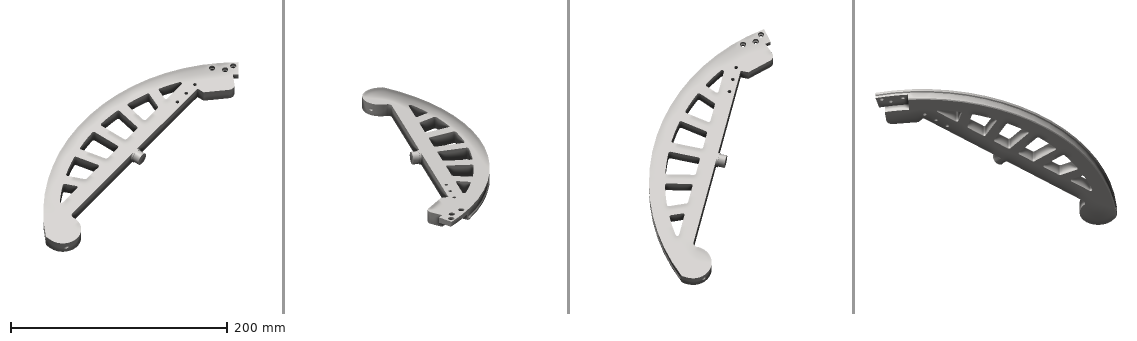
import cadquery as cq
import math

thickness = 12.0
half_thickness = thickness / 2

rim_radius = 180.0
rim_depth = 59.8
rim_center_x = rim_radius - rim_depth
tip_angle = math.radians(52.5)
rim_end_angle = math.radians(-47.1)

boss_radius = 17.0
boss_x = 4.7
boss_y = -115.5
blend_radius = 3.9

shoulder_bottom_y = 94.5
shoulder_side_across = 61.7
shoulder_end_along = 101.3
shoulder_corner_radius = 5.8

tab_thickness = 5.5
tab_width = 15.0
lap_start_angle = math.radians(42.7)

wall = 15.0
strut_width = 10.0
strut_pitch = 12.0
struts_per_side = 2
window_fillet = 1.7

groove_depth = 1.0
groove_mouth = 7.5
groove_floor = 5.8
groove_end_angle = math.radians(-46.5)
rim_chamfer = 0.8

screw_diameter = 3.3
screw_head_diameter = 5.8
screw_head_depth = 3.0
screw_places = [(9.5, 136.3), (6.3, 128.0), (-4.5, 122.3)]
pin_diameter = 3.3
pin_x = -5.0
pin_pitch = 13.2
middle_pin_y = 83.7
pin_count = 3
cord_diameter = 3.0
cord_x = 17.3

peg_diameter = 11.8
peg_end_x = 8.3
collar_diameter = 13.5
collar_length = 1.7


def rim_point(angle, radius=rim_radius):
    """Point on a circle about the rim center; angle 0 is the crown, positive towards +Y."""
    return (rim_center_x - radius * math.cos(angle), radius * math.sin(angle))


def turned_point(along, across):
    """Point given on the 45 degree axes of the shoulder and tab."""
    return ((along - across) * math.sqrt(0.5), (along + across) * math.sqrt(0.5))


def arc_point(center_x, center_y, radius, angle):
    return (center_x + radius * math.cos(angle), center_y + radius * math.sin(angle))


def boss_point(angle):
    return arc_point(boss_x, boss_y, boss_radius, angle)


def plate():
    """Full-thickness outline: tab, shoulder, straight edge, blend, boss and rim."""
    tip = rim_point(tip_angle)
    tab_radius = rim_radius - tab_width
    tab_corner = rim_point(tip_angle, tab_radius)

    center_along = rim_center_x * math.sqrt(0.5)
    tab_root_across = math.sqrt(tab_radius**2 - (shoulder_end_along - center_along) ** 2) - center_along
    tab_root = turned_point(shoulder_end_along, tab_root_across)
    tab_root_angle = math.atan2(tab_root[1], rim_center_x - tab_root[0])
    tab_side_middle = rim_point((tip_angle + tab_root_angle) / 2, tab_radius)

    shoulder_corner = turned_point(shoulder_end_along, shoulder_side_across)
    shoulder_bottom_x = shoulder_bottom_y - shoulder_side_across * math.sqrt(2)

    blend_x = blend_radius
    blend_y = boss_y + math.sqrt((boss_radius + blend_radius) ** 2 - (blend_x - boss_x) ** 2)
    blend_angle = math.atan2(blend_y - boss_y, blend_x - boss_x)
    blend_middle = arc_point(blend_x, blend_y, blend_radius, blend_angle / 2 + math.pi)

    outline = (
        cq.Workplane("XY", origin=(0, 0, -half_thickness))
        .moveTo(*tip)
        .lineTo(*tab_corner)
        .threePointArc(tab_side_middle, tab_root)
        .lineTo(*shoulder_corner)
        .lineTo(shoulder_bottom_x, shoulder_bottom_y)
        .lineTo(0, shoulder_bottom_y)
        .lineTo(0, blend_y)
        .threePointArc(blend_middle, boss_point(blend_angle))
        .threePointArc(boss_point(0), boss_point(-math.pi / 2))
        .tangentArcPoint(rim_point(rim_end_angle), relative=False)
        .threePointArc(rim_point(0), tip)
        .close()
    )
    corner_edge = cq.selectors.NearestToPointSelector((*shoulder_corner, 0))
    return outline.extrude(thickness).edges(corner_edge).fillet(shoulder_corner_radius)


def lap():
    """Space under the tab, a ring sector about the rim center that leaves only the tab thickness."""
    clearance = 2.8
    span = math.radians(20)
    end_angle = lap_start_angle + span
    middle_angle = lap_start_angle + span / 2
    inner_radius = rim_radius - tab_width
    outer_radius = rim_radius + clearance
    return (
        cq.Workplane("XY", origin=(0, 0, -half_thickness))
        .moveTo(*rim_point(lap_start_angle, inner_radius))
        .threePointArc(rim_point(middle_angle, inner_radius), rim_point(end_angle, inner_radius))
        .lineTo(*rim_point(end_angle, outer_radius))
        .threePointArc(rim_point(middle_angle, outer_radius), rim_point(lap_start_angle, outer_radius))
        .close()
        .extrude(thickness - tab_thickness)
    )


def ring_along_rim(profile, end_angle):
    """Profile of (depth below the rim, Z) points swept from the end angle up past the tip."""
    points = [(depth - rim_radius, z) for depth, z in profile]
    overrun = 5
    sweep = math.degrees(tip_angle - end_angle) + overrun
    ring = cq.Workplane("XZ").polyline(points).close().revolve(sweep, (0, 0), (0, -1))
    return ring.rotate((0, 0, 0), (0, 0, 1), -math.degrees(end_angle)).translate((rim_center_x, 0, 0))


def rim_groove():
    profile = [
        (0, -groove_mouth / 2),
        (groove_depth, -groove_floor / 2),
        (groove_depth, groove_floor / 2),
        (0, groove_mouth / 2),
    ]
    return ring_along_rim(profile, groove_end_angle)


def lower_rim_chamfer():
    profile = [
        (0, -half_thickness),
        (rim_chamfer, -half_thickness),
        (0, -half_thickness + rim_chamfer),
    ]
    return ring_along_rim(profile, -tip_angle)


def windows():
    """Space inside the rim wall and edge wall, divided by radial struts."""
    inner_radius = rim_radius - wall
    corner_angle = math.acos((rim_center_x + wall) / inner_radius)
    opening = (
        cq.Workplane("XY", origin=(0, 0, -half_thickness))
        .moveTo(*rim_point(corner_angle, inner_radius))
        .threePointArc(rim_point(0, inner_radius), rim_point(-corner_angle, inner_radius))
        .close()
        .extrude(thickness)
    )
    for step in range(-struts_per_side, struts_per_side + 1):
        strut = (
            cq.Workplane("XY")
            .box(rim_radius, strut_width, thickness)
            .translate((-rim_radius / 2, 0, 0))
            .rotate((0, 0, 0), (0, 0, 1), step * strut_pitch)
            .translate((rim_center_x, 0, 0))
        )
        opening = opening.cut(strut)
    return opening.edges("|Z").fillet(window_fillet)


def peg():
    """Peg with a collar, the collar trimmed flush with the faces of the plate."""
    root = cq.Workplane("YZ", origin=(-wall / 2, 0, 0))
    shaft = root.circle(peg_diameter / 2).extrude(wall / 2 + peg_end_x)
    collar = root.circle(collar_diameter / 2).extrude(wall / 2 + collar_length)
    slab = cq.Workplane("XY").box(wall * 2, wall * 2, thickness)
    return shaft.union(collar.intersect(slab))


def holes(part):
    pins = [(pin_x, middle_pin_y + pin_pitch * (i - (pin_count - 1) / 2)) for i in range(pin_count)]
    top = cq.Workplane("XY", origin=(0, 0, half_thickness))
    screws = top.pushPoints(screw_places)
    part = part.cut(screws.circle(screw_diameter / 2).extrude(-thickness))
    part = part.cut(screws.circle(screw_head_diameter / 2).extrude(-screw_head_depth))
    part = part.cut(top.pushPoints(pins).circle(pin_diameter / 2).extrude(-thickness))

    cord = cq.Workplane("XZ", origin=(cord_x, boss_y, 0)).circle(cord_diameter / 2)
    return part.cut(cord.extrude(boss_radius, both=True))


limb = plate().cut(lap()).cut(rim_groove()).cut(lower_rim_chamfer()).cut(windows())
result = holes(limb.union(peg()))